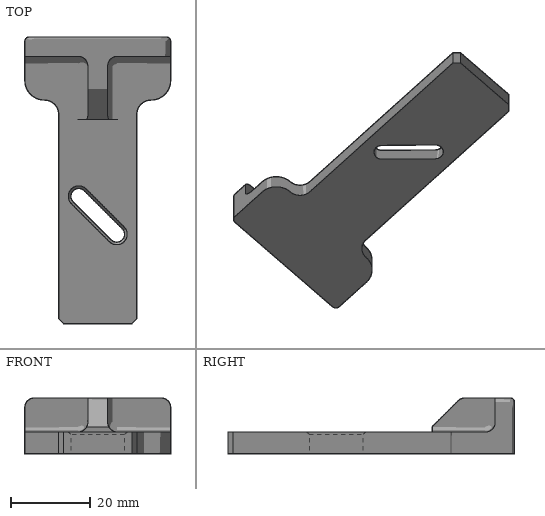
import cadquery as cq
import math

length = 72.2
head_width = 36.75
height = 14.1

base_thickness = 5.5
head_depth = 15.95
head_corner_radius = 5.0
neck_radius = 3.55
bar_width = head_width - 2 * (head_corner_radius + neck_radius)
bar_end_chamfer = 1.3

wall_thickness = 4.9
wall_corner_radius = 2.45
back_edge_radius = 1.15

rib_width = 5.0
rib_reach = 20.8
rib_nose_height = 1.3
rib_crest_radius = 2.45
inner_fillet_radius = 2.45

slot_width = 3.9
slot_center_distance = 13.5
slot_distance_from_back = 44.9
slot_angle = -45.0
slot_chamfer = 0.685

overlap = 0.7


def make_base():
    half_head = head_width / 2
    half_bar = bar_width / 2
    tangent_x = half_bar + neck_radius
    diagonal = math.sqrt(0.5)
    head_center_y = -head_depth + head_corner_radius
    neck_end_y = -head_depth - neck_radius
    head_mid = (
        tangent_x + head_corner_radius * diagonal,
        head_center_y - head_corner_radius * diagonal,
    )
    neck_mid = (
        tangent_x - neck_radius * diagonal,
        neck_end_y + neck_radius * diagonal,
    )
    right_half = (
        cq.Workplane("XY")
        .moveTo(0, 0)
        .lineTo(half_head, 0)
        .lineTo(half_head, head_center_y)
        .threePointArc(head_mid, (tangent_x, -head_depth))
        .threePointArc(neck_mid, (half_bar, neck_end_y))
        .lineTo(half_bar, -length + bar_end_chamfer)
        .lineTo(half_bar - bar_end_chamfer, -length)
        .lineTo(0, -length)
        .close()
        .extrude(base_thickness)
    )
    return right_half.union(right_half.mirror("YZ")).clean()


def make_wall():
    wall = (
        cq.Workplane("XY")
        .box(head_width, wall_thickness, height, centered=(True, False, False))
        .translate((0, -wall_thickness, 0))
    )
    wall = wall.edges("|Y and >Z").fillet(wall_corner_radius)
    return wall.faces(">Y").edges("not <Z").fillet(back_edge_radius)


def make_rib():
    depth = rib_reach + inner_fillet_radius
    return (
        cq.Workplane("XY")
        .box(rib_width, depth - wall_thickness / 2, height, centered=(True, False, False))
        .translate((0, -depth, 0))
    )


def fillet_inner_corners(body):
    """Round the concave edges between the wall, the rib and the base."""
    half_rib = rib_width / 2
    upright_height = (base_thickness + height) / 2
    side_x = (half_rib + head_width / 2) / 2
    rib_y = -(wall_thickness + rib_reach) / 2
    points = []
    for side in (-1, 1):
        points.append((side * half_rib, -wall_thickness, upright_height))
        points.append((side * half_rib, rib_y, base_thickness))
        points.append((side * side_x, -wall_thickness, base_thickness))
    edges = [body.edges(cq.selectors.NearestToPointSelector(p)).val() for p in points]
    return body.newObject(edges).fillet(inner_fillet_radius)


def make_rib_trim():
    """Volume in front of the rib's sloping, rounded profile."""
    half_turn = math.radians(45) / 2
    nose_z = base_thickness + rib_nose_height
    crest_y = -rib_reach + height - nose_z
    tangent = rib_crest_radius * math.tan(half_turn)
    arc_center = (crest_y + tangent, height - rib_crest_radius)
    arc_middle = (
        arc_center[0] - rib_crest_radius * math.sin(half_turn),
        arc_center[1] + rib_crest_radius * math.cos(half_turn),
    )
    slope_start = (
        crest_y - tangent * math.sqrt(0.5),
        height - tangent * math.sqrt(0.5),
    )
    front_y = -rib_reach - inner_fillet_radius - overlap
    return (
        cq.Workplane("YZ")
        .moveTo(front_y, base_thickness)
        .lineTo(-rib_reach, base_thickness)
        .lineTo(-rib_reach, nose_z)
        .lineTo(*slope_start)
        .threePointArc(arc_middle, (crest_y + tangent, height))
        .lineTo(crest_y + tangent, height + overlap)
        .lineTo(front_y, height + overlap)
        .close()
        .extrude(head_width / 2, both=True)
    )


def make_slot_cutter():
    overall = slot_center_distance + slot_width
    through = cq.Workplane("XY").slot2D(overall, slot_width).extrude(base_thickness)
    flare = (
        cq.Workplane("XY")
        .workplane(offset=base_thickness)
        .slot2D(overall + 2 * slot_chamfer, slot_width + 2 * slot_chamfer)
        .extrude(-slot_chamfer, taper=45)
    )
    return (
        through.union(flare)
        .rotate((0, 0, 0), (0, 0, 1), slot_angle)
        .translate((0, -slot_distance_from_back, 0))
    )


base = make_base().edges("|Z and >Y").fillet(back_edge_radius)
bracket = base.union(make_wall()).union(make_rib())
bracket = fillet_inner_corners(bracket)
bracket = bracket.cut(make_rib_trim())
result = bracket.cut(make_slot_cutter())